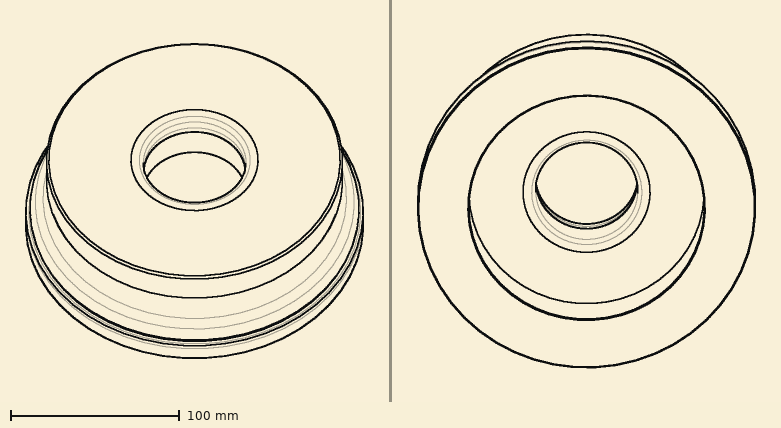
import cadquery as cq
import math

HEIGHT = 63.0
FLANGE_RADIUS = 100.0
FLANGE_HEIGHT = 12.5
FLANGE_BOTTOM_CHAMFER = 0.5
FLANGE_TOP_EDGE_Z = 10.2
FLANGE_TOP_TAPER = 0.2
SHOULDER_RADIUS = 96.8
SHOULDER_FOOT_RADIUS = 98.2
SHOULDER_FOOT_HEIGHT = 0.5
BULGE_RADIUS = 97.5
BULGE_Z = 15.0
BULGE_MID_RADIUS = 96.5
BULGE_MID_Z = 18.8
SLOPE_BOTTOM_RADIUS = 94.5
SLOPE_BOTTOM_Z = 22.2
SLOPE_TOP_RADIUS = 89.8
SLOPE_TOP_Z = 26.5
NECK_RADIUS = 86.0
NECK_Z = 35.5
TREAD_RADIUS = 87.5
TREAD_BOTTOM_Z = 43.2
TREAD_CHAMFER = 1.5

CAVITY_RADIUS = 69.5
CAVITY_MOUTH_CHAMFER = 0.5
WEB_THICKNESS = 33.5
WEB_BOTTOM_Z = HEIGHT - WEB_THICKNESS

BUSH_RADIUS = 37.5
BORE_RADIUS = 30.0
BORE_EDGE_FILLET = 2.5
LEAD_IN_RADIUS = 30.5
LEAD_IN_DEPTH = 7.5
LAND_BOTTOM_DEPTH = 12.0
RELIEF_RADIUS = 30.2


def revolve_about_z(profile):
    """Full turn of a closed XZ profile about the wheel axis."""
    return profile.revolve(360, (0, 0, 0), (0, 1, 0))


def make_wheel():
    """Turned wheel with a flange, a bulged shoulder, a hollow neck, a tread and a cavity below."""
    profile = (
        cq.Workplane("XZ")
        .moveTo(BUSH_RADIUS, WEB_BOTTOM_Z)
        .lineTo(CAVITY_RADIUS, WEB_BOTTOM_Z)
        .lineTo(CAVITY_RADIUS, CAVITY_MOUTH_CHAMFER)
        .lineTo(CAVITY_RADIUS + CAVITY_MOUTH_CHAMFER, 0)
        .lineTo(FLANGE_RADIUS - FLANGE_BOTTOM_CHAMFER, 0)
        .lineTo(FLANGE_RADIUS, FLANGE_BOTTOM_CHAMFER)
        .lineTo(FLANGE_RADIUS, FLANGE_TOP_EDGE_Z)
        .lineTo(FLANGE_RADIUS - FLANGE_TOP_TAPER, FLANGE_HEIGHT)
        .lineTo(SHOULDER_FOOT_RADIUS, FLANGE_HEIGHT)
        .lineTo(SHOULDER_RADIUS, FLANGE_HEIGHT + SHOULDER_FOOT_HEIGHT)
        .lineTo(BULGE_RADIUS, BULGE_Z)
        .threePointArc((BULGE_MID_RADIUS, BULGE_MID_Z), (SLOPE_BOTTOM_RADIUS, SLOPE_BOTTOM_Z))
        .lineTo(SLOPE_TOP_RADIUS, SLOPE_TOP_Z)
        .threePointArc((NECK_RADIUS, NECK_Z), (TREAD_RADIUS, TREAD_BOTTOM_Z))
        .lineTo(TREAD_RADIUS, HEIGHT - TREAD_CHAMFER)
        .lineTo(TREAD_RADIUS - TREAD_CHAMFER, HEIGHT)
        .lineTo(BUSH_RADIUS, HEIGHT)
        .close()
    )
    return revolve_about_z(profile)


def make_bush():
    """Sleeve flush with both web faces: rounded ends, tapered lead-in, land and relieved bore."""
    fillet_offset = BORE_EDGE_FILLET * (1 - math.sqrt(0.5))
    profile = (
        cq.Workplane("XZ")
        .moveTo(BUSH_RADIUS, WEB_BOTTOM_Z)
        .lineTo(BUSH_RADIUS, HEIGHT)
        .lineTo(LEAD_IN_RADIUS + BORE_EDGE_FILLET, HEIGHT)
        .threePointArc(
            (LEAD_IN_RADIUS + fillet_offset, HEIGHT - fillet_offset),
            (LEAD_IN_RADIUS, HEIGHT - BORE_EDGE_FILLET),
        )
        .lineTo(BORE_RADIUS, HEIGHT - LEAD_IN_DEPTH)
        .lineTo(BORE_RADIUS, HEIGHT - LAND_BOTTOM_DEPTH)
        .lineTo(RELIEF_RADIUS, HEIGHT - LAND_BOTTOM_DEPTH)
        .lineTo(RELIEF_RADIUS, WEB_BOTTOM_Z + BORE_EDGE_FILLET)
        .threePointArc(
            (RELIEF_RADIUS + fillet_offset, WEB_BOTTOM_Z + fillet_offset),
            (RELIEF_RADIUS + BORE_EDGE_FILLET, WEB_BOTTOM_Z),
        )
        .close()
    )
    return revolve_about_z(profile)


wheel = make_wheel()
bush = make_bush()

result = cq.Compound.makeCompound([wheel.val(), bush.val()])